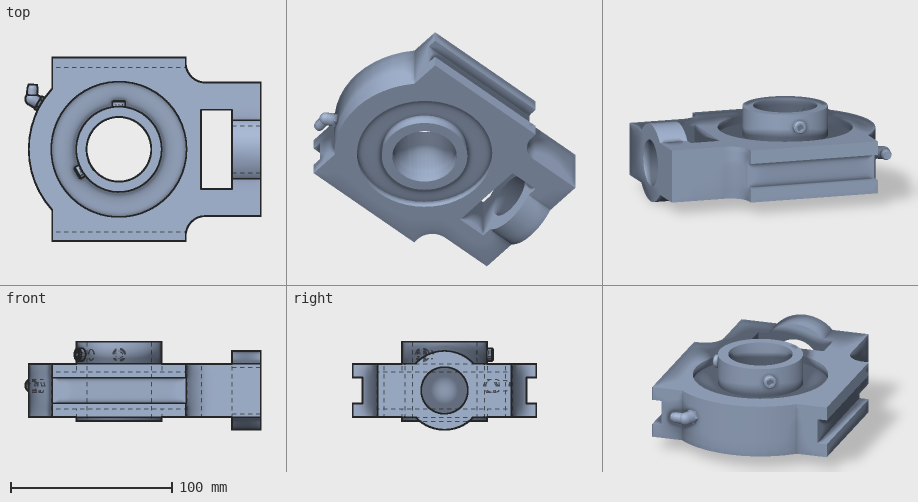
import cadquery as cq
import math


housing_thickness = 33.0
housing_width = 114.0
plate_length = 83.0
plate_left = -plate_length / 2
plate_right = plate_length / 2
nose_radius = 56.0
neck_width = 83.0
neck_fillet_radius = 12.0
housing_end = 88.0

groove_width = 16.0
groove_floor_spacing = 102.0

window_start = 51.0
window_length = 19.0
window_width = 49.0
boss_diameter = 49.0
spindle_hole_diameter = 29.0

insert_diameter = 84.0
insert_width = 23.0
collar_diameter = 53.0
collar_top = 30.2
collar_bottom = -19.0
bore_diameter = 40.0

screw_diameter = 8.0
screw_face_diameter = 6.5
screw_hole_diameter = 6.77
screw_length = 10.0
screw_inset = 0.1
screw_inner_end = bore_diameter / 2 + screw_inset
screw_outer_end = screw_inner_end + screw_length
screw_depth_below_top = 8.0
screw_height = collar_top - screw_depth_below_top
screw_angles = (90.0, 210.0)
socket_across_flats = 4.0
socket_depth = 3.0
socket_turn = 30.0

nipple_angle = 150.0
nipple_height = 3.0
nipple_diameter = 8.0
nipple_hex_across_flats = 8.0
nipple_hex_end = 58.0
nipple_root = 50.0
elbow_distance = 62.5
elbow_bend = 65.0
spout_diameter = 6.6
spout_tip_diameter = 5.2
spout_shoulder = 6.6
spout_length = 9.0


def hexagon_corners(across_flats):
    """Diameter of the circle through the corners of a hexagon."""
    return across_flats / math.cos(math.radians(30))


def plane_across(angle, origin):
    """Upright plane whose normal is level, at the given angle from +X."""
    direction = math.radians(angle)
    normal = (math.cos(direction), math.sin(direction), 0)
    level = (-math.sin(direction), math.cos(direction), 0)
    return cq.Plane(origin=origin, xDir=level, normal=normal)


def axial_plane(angle, origin):
    """Level workplane whose local x runs along the given angle from +X, for turned profiles."""
    direction = math.radians(angle)
    along = (math.cos(direction), math.sin(direction), 0)
    return cq.Workplane(cq.Plane(origin=origin, xDir=along, normal=(0, 0, 1)))


def make_plate():
    """Wide plate with a round nose at -X and a narrow neck at +X."""
    nose_corner = math.sqrt(nose_radius**2 - plate_left**2)
    half_width = housing_width / 2
    half_neck = neck_width / 2
    fillet_offset = neck_fillet_radius * (1 - math.sqrt(0.5))
    fillet_end = plate_right + neck_fillet_radius
    outline = (
        cq.Workplane("XY")
        .workplane(offset=-housing_thickness / 2)
        .moveTo(plate_left, nose_corner)
        .lineTo(plate_left, half_width)
        .lineTo(plate_right, half_width)
        .lineTo(plate_right, half_neck + neck_fillet_radius)
        .threePointArc((plate_right + fillet_offset, half_neck + fillet_offset), (fillet_end, half_neck))
        .lineTo(housing_end, half_neck)
        .lineTo(housing_end, -half_neck)
        .lineTo(fillet_end, -half_neck)
        .threePointArc(
            (plate_right + fillet_offset, -half_neck - fillet_offset),
            (plate_right, -half_neck - neck_fillet_radius),
        )
        .lineTo(plate_right, -half_width)
        .lineTo(plate_left, -half_width)
        .lineTo(plate_left, -nose_corner)
        .threePointArc((-nose_radius, 0), (plate_left, nose_corner))
        .close()
    )
    return outline.extrude(housing_thickness)


def make_grooves():
    """Bars that cut the guide groove along each long side."""
    groove_end = plate_right + neck_fillet_radius
    groove_depth = (housing_width - groove_floor_spacing) / 2
    groove_centre = (housing_width + groove_floor_spacing) / 4
    return (
        cq.Workplane("XY")
        .pushPoints([((plate_left + groove_end) / 2, side * groove_centre) for side in (-1, 1)])
        .box(groove_end - plate_left, groove_depth, groove_width)
    )


def make_nipple():
    """Grease nipple: hexagon foot, straight shank with a ball end as the elbow, and a tapered spout."""
    shank_plane = plane_across(nipple_angle, (0, 0, nipple_height))
    foot = (
        cq.Workplane(shank_plane)
        .workplane(offset=nipple_root)
        .polygon(6, hexagon_corners(nipple_hex_across_flats))
        .extrude(nipple_hex_end - nipple_root)
    )
    elbow_radius = nipple_diameter / 2
    ball_side = elbow_radius * math.sqrt(0.5)
    shank = (
        axial_plane(nipple_angle, (0, 0, nipple_height))
        .moveTo(nipple_hex_end, 0)
        .lineTo(nipple_hex_end, elbow_radius)
        .lineTo(elbow_distance, elbow_radius)
        .threePointArc((elbow_distance + ball_side, ball_side), (elbow_distance + elbow_radius, 0))
        .close()
        .revolve(360, (0, 0), (1, 0))
    )
    spout = (
        axial_plane(nipple_angle - elbow_bend, shank_plane.toWorldCoords((0, 0, elbow_distance)))
        .lineTo(0, spout_diameter / 2)
        .lineTo(spout_shoulder, spout_diameter / 2)
        .lineTo(spout_length, spout_tip_diameter / 2)
        .lineTo(spout_length, 0)
        .close()
        .revolve(360, (0, 0), (1, 0))
    )
    return foot.union(shank).union(spout)


def make_housing():
    """Plate with grooves, bearing seat, window, spindle boss and grease nipple."""
    window_end = window_start + window_length
    boss_plane = cq.Workplane("YZ").workplane(offset=window_end)
    boss_length = housing_end - window_end
    boss = boss_plane.circle(boss_diameter / 2).extrude(boss_length)
    spindle_hole = boss_plane.circle(spindle_hole_diameter / 2).extrude(boss_length)
    window = (
        cq.Workplane("XY")
        .center(window_start + window_length / 2, 0)
        .box(window_length, window_width, housing_thickness)
    )
    seat = cq.Workplane("XY").cylinder(housing_thickness, insert_diameter / 2)
    housing = make_plate().cut(make_grooves()).cut(window).cut(seat)
    return housing.union(boss).cut(spindle_hole).union(make_nipple())


def make_set_screw(angle):
    """Set screw on a radius of the collar, chamfered outside, with a hexagon socket."""
    screw_plane = plane_across(angle, (0, 0, screw_height))
    chamfer = (screw_diameter - screw_face_diameter) / 2
    screw = (
        cq.Workplane(screw_plane)
        .workplane(offset=screw_inner_end)
        .circle(screw_diameter / 2)
        .extrude(screw_length)
        .faces(cq.selectors.DirectionMinMaxSelector(screw_plane.zDir))
        .chamfer(chamfer)
    )
    socket = (
        cq.Workplane(screw_plane)
        .workplane(offset=screw_outer_end - socket_depth)
        .transformed(rotate=(0, 0, socket_turn))
        .polygon(6, hexagon_corners(socket_across_flats))
        .extrude(socket_depth)
    )
    return screw.cut(socket)


def make_insert():
    """Bearing insert: outer ring, bored collar, and set screws just short of the bore in open holes."""
    bearing_ring = cq.Workplane("XY").cylinder(insert_width, insert_diameter / 2)
    collar_plane = cq.Workplane("XY").workplane(offset=collar_bottom)
    collar_length = collar_top - collar_bottom
    collar = collar_plane.circle(collar_diameter / 2).extrude(collar_length)
    bore = collar_plane.circle(bore_diameter / 2).extrude(collar_length)
    insert = bearing_ring.union(collar).cut(bore)
    for angle in screw_angles:
        screw_plane = cq.Workplane(plane_across(angle, (0, 0, screw_height)))
        insert = insert.cut(screw_plane.circle(screw_hole_diameter / 2).extrude(screw_inner_end))
        insert = insert.union(make_set_screw(angle))
    return insert


housing = make_housing()
insert = make_insert()
result = cq.Compound.makeCompound([housing.solids().val(), insert.solids().val()])